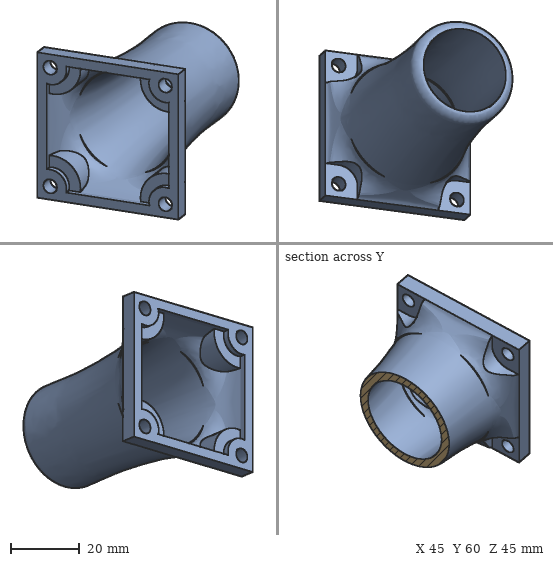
import cadquery as cq
import math

length = 60.0
flange_side = 45.0
flange_thickness = 5.0
wall = 3.0

tube_radius = 15.8
rim_fillet = 2.95
bell_start = 40.2
bell_high_height = 26.5
bell_high_radius = 16.8
bell_mid_height = 18.85
bell_mid_radius = 17.75
bell_low_height = 9.6
bell_low_radius = 19.8
bell_low_slope = 0.29

hole_diameter = 4.25
hole_offset = 18.35
pad_radius = 5.2
pocket_radius = 5.8
boss_radius = pocket_radius + wall
boss_recess = flange_thickness - wall

foot_sections = [
    (0.0, flange_side / 2, 1.2),
    (2.65, 20.75, 15.0),
    (4.75, 19.8, 17.7),
    (8.05, 18.3, 16.2),
]
min_corner = 0.6
hole_points = [(x, y) for x in (-hole_offset, hole_offset) for y in (-hole_offset, hole_offset)]


def bell(inset):
    """Solid of revolution: tube flaring towards the flange."""
    return (
        cq.Workplane("XZ")
        .moveTo(0, bell_low_height)
        .lineTo(bell_low_radius - inset, bell_low_height)
        .spline(
            [
                (bell_mid_radius - inset, bell_mid_height),
                (bell_high_radius - inset, bell_high_height),
                (tube_radius - inset, bell_start),
                (tube_radius - inset, length),
            ],
            tangents=[(-bell_low_slope, 1), (0, 1)],
            includeCurrent=True,
        )
        .lineTo(0, length)
        .close()
        .revolve(360, (0, 0, 0), (0, 1, 0))
    )


def foot(inset):
    """Solid blending the square flange into the round bell."""
    wires = []
    for height, half_width, corner in foot_sections:
        base = flange_thickness + height
        if height == 0:
            base -= inset
        side = 2 * (half_width - inset)
        block = cq.Workplane("XY", origin=(0, 0, base)).rect(side, side).extrude(0.6)
        rounded = block.edges("|Z").fillet(max(corner - inset, min_corner))
        wires.append(rounded.faces("<Z").wires().val())
    return cq.Workplane(cq.Solid.makeLoft(wires))


def corner_cylinders(radius, bottom, top):
    """One cylinder on each screw axis."""
    return (
        cq.Workplane("XY", origin=(0, 0, bottom))
        .pushPoints(hole_points)
        .circle(radius)
        .extrude(top - bottom)
    )


def screw_pockets():
    """Round-ended pockets that run out past both sides of each flange corner."""
    pockets = corner_cylinders(pocket_radius, flange_thickness, bell_mid_height)
    height = bell_mid_height - flange_thickness
    for x, y in hole_points:
        out_x = math.copysign(pocket_radius / 2, x)
        out_y = math.copysign(pocket_radius / 2, y)
        for center, size in (
            ((x + out_x, y), (pocket_radius, 2 * pocket_radius)),
            ((x, y + out_y), (2 * pocket_radius, pocket_radius)),
        ):
            runout = (
                cq.Workplane("XY", origin=(*center, flange_thickness))
                .rect(*size)
                .extrude(height)
            )
            pockets = pockets.union(runout)
    return pockets


flange = cq.Workplane("XY").rect(flange_side, flange_side).extrude(flange_thickness)
tube = bell(0).faces(">Z").edges().fillet(rim_fillet)
outer = tube.union(foot(0)).union(flange)
outer = outer.cut(screw_pockets())

opening_side = flange_side - 2 * wall
opening = cq.Workplane("XY").rect(opening_side, opening_side).extrude(boss_recess)
cavity = (
    bell(wall).union(foot(wall)).union(opening)
    .cut(corner_cylinders(pad_radius, 0, flange_thickness))
    .cut(corner_cylinders(boss_radius, boss_recess, bell_mid_height))
)

holes = corner_cylinders(hole_diameter / 2, 0, flange_thickness)
result = outer.cut(cavity).cut(holes).rotate((0, 0, 0), (1, 0, 0), -90)